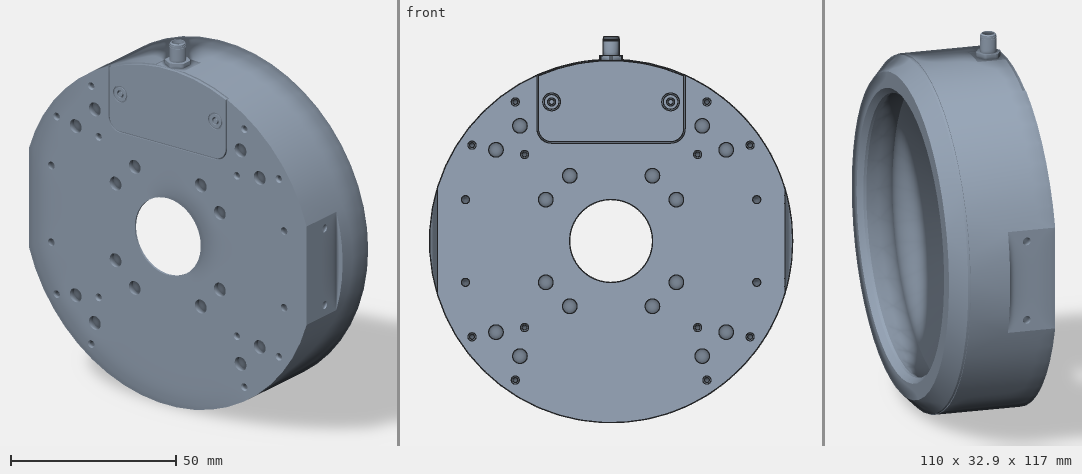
import cadquery as cq
import math

depth = 32.9
outer_radius = 110.0 / 2
bevel = 4.7
band_radius = 54.7
band_width = 0.7

bore_diameter = 25.0
bore_length = 0.7
mouth_radius = 43.4
mouth_chamfer = 1.6
mouth_land = 0.9
cavity_radius = 47.4
dish_half_angle = 60

flat_x = 52.6
flat_depth = 15.0
side_hole_z = 12.5
side_hole_y = 9.0

dowel_diameter = 4.5
dowel_depth = 2.0
inner_dowel = (12.5, 19.8)
outer_dowel = (27.6, 34.9)
tap_diameter = 2.5
tap_depth = 5.8
drill_tip_angle = 118
outer_tap = (29.0, 42.1)
middle_tap = (26.2, 26.2)
side_tap = (44.1, side_hole_z)
small_tap_diameter = 1.5

cover_half_width = 22.0
cover_bottom_z = 30.0
cover_corner = 4.0
cover_thickness = 1.0
cover_gap = 0.5
cover_radius = 54.6
screw_x = 18.0
screw_z = 42.1
screw_seat_diameter = 5.4
screw_head_diameter = 4.5
screw_recess = 0.4
screw_socket_diameter = 2.5
screw_pin_diameter = 1.5
screw_socket_depth = 1.0

pad_width = 10.3
pad_length = 9.9
pad_z = 54.6
connector_y = 5.0
overall_height = 117.0
connector_top = overall_height - outer_radius
nut_across_flats = 6.9
nut_corner_diameter = 7.6
nut_height = 1.5
plug_diameter = 5.0
plug_tip_diameter = 4.7
plug_tip_length = 0.7
plug_tip_chamfer = 0.2
collar_width = 0.4
groove_width = 0.4
plug_bore_diameter = 3.7
plug_bore_depth = 2.9
pin_diameter = 0.48
pin_spacing = 1.4
pin_length = 1.8


def front_plane():
    """Mounting face plane with local axes X and Z; negative extrusions go into the housing (+Y)."""
    return cq.Workplane("XZ")


def mirrored(points):
    """Copy quadrant points (x, z) into all four quadrants."""
    return [(sx * x, sz * z) for x, z in points for sx in (1, -1) for sz in (1, -1)]


def swapped(point):
    """Mirror a quadrant point about the diagonal x = z."""
    return (point[1], point[0])


def drill(diameter, length):
    """Drill shape along +Y with a conical tip."""
    radius = diameter / 2
    tip = radius / math.tan(math.radians(drill_tip_angle / 2))
    profile = [(0, 0), (radius, 0), (radius, length), (0, length + tip)]
    return cq.Workplane("XY").polyline(profile).close().revolve(360, (0, 0), (0, 1))


def countersunk_drill(diameter, rim_diameter, length):
    """Drill shape along +Y that opens to a wider rim with a 45 degree countersink."""
    rim = rim_diameter / 2
    sink_depth = rim - diameter / 2
    profile = [(0, 0), (rim, 0), (rim - sink_depth, sink_depth), (0, sink_depth)]
    countersink = cq.Workplane("XY").polyline(profile).close().revolve(360, (0, 0), (0, 1))
    return drill(diameter, length).union(countersink)


def make_housing():
    """Revolve the housing section, given as (radius, y) points, about the Y axis."""
    bevel_start = depth - bevel
    bore_radius = bore_diameter / 2
    lip_start = depth - mouth_chamfer - mouth_land
    cavity_widest_y = bore_length + (cavity_radius - bore_radius) / math.tan(math.radians(dish_half_angle))
    profile = [
        (bore_radius, 0),
        (outer_radius, 0),
        (outer_radius, bevel_start - band_width),
        (band_radius, bevel_start - band_width),
        (band_radius, bevel_start),
        (band_radius - bevel, depth),
        (mouth_radius + mouth_chamfer, depth),
        (mouth_radius, depth - mouth_chamfer),
        (mouth_radius, lip_start),
        (cavity_radius, cavity_widest_y),
        (bore_radius, bore_length),
    ]
    return cq.Workplane("XY").polyline(profile).close().revolve(360, (0, 0), (0, 1))


def cut_side_flats(body):
    for side in (1, -1):
        slab = front_plane().center(side * (flat_x + outer_radius / 2), 0)
        body = body.cut(slab.rect(outer_radius, 2 * outer_radius).extrude(-flat_depth))
        for z in (side_hole_z, -side_hole_z):
            hole = drill(tap_diameter, tap_depth).rotate((0, 0, 0), (0, 0, 1), side * 90)
            body = body.cut(hole.translate((side * flat_x, side_hole_y, z)))
    return body


def cut_face_holes(body):
    dowels = [inner_dowel, swapped(inner_dowel), outer_dowel, swapped(outer_dowel)]
    pockets = front_plane().pushPoints(mirrored(dowels)).circle(dowel_diameter / 2).extrude(-dowel_depth)
    body = body.cut(pockets)
    for x, z in mirrored([outer_tap, swapped(outer_tap), middle_tap]):
        body = body.cut(countersunk_drill(small_tap_diameter, tap_diameter, tap_depth).translate((x, 0, z)))
    for x, z in mirrored([side_tap]):
        body = body.cut(drill(tap_diameter, tap_depth).translate((x, 0, z)))
    return body


def cover_slab(margin):
    """Cover outline grown by a margin, reaching past the top of the housing."""
    height = 2 * outer_radius
    slab = (
        front_plane()
        .center(0, cover_bottom_z - margin + height / 2)
        .rect(2 * (cover_half_width + margin), height)
        .extrude(-cover_thickness)
    )
    return slab.edges("|Y and <Z").fillet(cover_corner + margin)


def fit_cover(body):
    cover = cover_slab(0).intersect(front_plane().circle(cover_radius).extrude(-cover_thickness))
    body = body.cut(cover_slab(cover_gap)).union(cover)
    seats = front_plane().pushPoints([(screw_x, screw_z), (-screw_x, screw_z)])
    ring = seats.circle(screw_seat_diameter / 2).circle(screw_head_diameter / 2).extrude(-screw_recess)
    socket = seats.circle(screw_socket_diameter / 2).circle(screw_pin_diameter / 2).extrude(-screw_socket_depth)
    return body.cut(ring).cut(socket)


def cut_connector_pad(body):
    pad = cq.Workplane("XY", origin=(0, pad_length / 2, pad_z))
    pad = pad.rect(pad_width, pad_length).extrude(outer_radius - pad_z)
    return body.cut(pad)


def make_connector():
    base = cq.Workplane("XY", origin=(0, connector_y, pad_z))
    nut = base.polygon(6, nut_across_flats, circumscribed=True).extrude(nut_height)
    nut = nut.intersect(base.circle(nut_corner_diameter / 2).extrude(nut_height))
    height = connector_top - pad_z
    collar_top = height - plug_tip_length
    groove_top = collar_top - collar_width
    plug = base.circle(plug_diameter / 2).extrude(groove_top - groove_width)
    collar = base.workplane(offset=groove_top).circle(plug_diameter / 2).extrude(collar_width)
    core = base.circle(plug_tip_diameter / 2).extrude(height).faces(">Z").chamfer(plug_tip_chamfer)
    socket_floor = base.workplane(offset=height - plug_bore_depth)
    socket = socket_floor.circle(plug_bore_diameter / 2).extrude(plug_bore_depth)
    pins = socket_floor.rect(pin_spacing, pin_spacing, forConstruction=True).vertices()
    pins = pins.circle(pin_diameter / 2).extrude(pin_length)
    return nut.union(plug).union(collar).union(core).cut(socket).union(pins)


housing = cut_face_holes(cut_side_flats(make_housing()))
result = cut_connector_pad(fit_cover(housing)).union(make_connector())